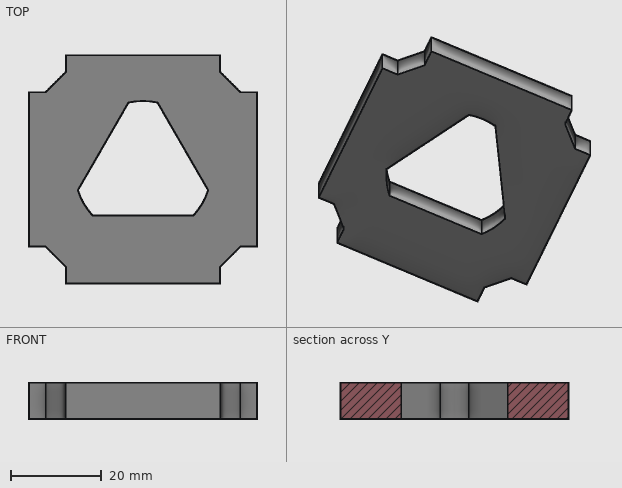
import cadquery as cq

side = 50.3
thickness = 8.0
flat_length = 34.0
notch_step = 3.65
window_radius = 15.05
window_inradius = 10.1


def make_plate():
    """Cross of two bars, with a chamfered square core filling the corners between them."""
    bar_x = cq.Workplane("XY").box(side, flat_length, thickness)
    bar_y = cq.Workplane("XY").box(flat_length, side, thickness)
    core_side = side - 2 * notch_step
    chamfer = (core_side - flat_length) / 2
    core = (
        cq.Workplane("XY")
        .box(core_side, core_side, thickness)
        .edges("|Z")
        .chamfer(chamfer)
    )
    return bar_x.union(bar_y).union(core)


def make_window():
    """Triangular through window, one flat facing -Y, with its corners on a circle."""
    triangle_diameter = 4 * window_inradius
    triangle = (
        cq.Workplane("XY")
        .transformed(rotate=(0, 0, 90))
        .polygon(3, triangle_diameter)
        .extrude(thickness / 2, both=True)
    )
    rounding = cq.Workplane("XY").cylinder(thickness, window_radius)
    return triangle.intersect(rounding)


result = make_plate().cut(make_window())